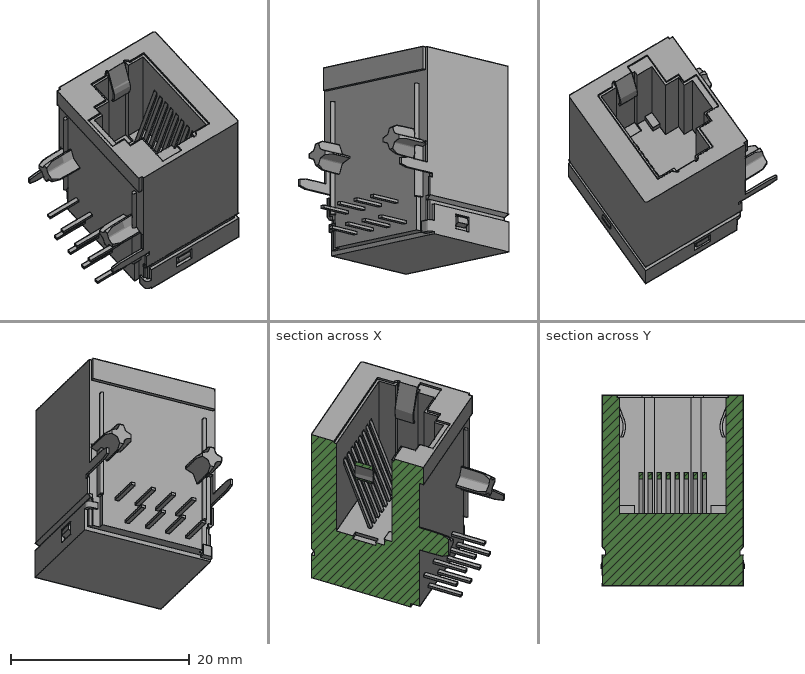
import cadquery as cq


height = 21.35
half_width = 7.92
back_y = 13.76
sheet = 0.25
standoff = 0.45
inner_half_width = half_width - sheet
bend_radius = 0.28
flap_height = 2.6

recess_top = 10.55
recess_y = 1.07
recess_half_width = 6.64
lower_edge_y = 0.87
jog_top = 4.37
jog_bottom = 3.95
waist_inset = 0.36
waist_half_width = half_width - waist_inset
waist_y = 1.28
housing_bottom = 0.51
lower_half_width = 7.15
centre_half_width = 6.27

cover_top = 3.45
cover_y = 1.58
tab_bend_radius = 0.51
left_tab_z = (2.67, cover_top)
right_tab_z = (0.23, 1.55)

window_y = (5.1, 7.21)
window_z = (1.2, 2.85)
bump_width = 1.62
bump_rise = 0.1
back_bump_rise = 0.17
bump_z = (1.62, 1.96, 2.33, 2.69)
latch_y = sum(window_y) / 2

cavity_floor = 8.1
opening_half_widths = (2.3, 3.41, 6.19)
opening_y = (0.35, 1.98, 3.63, 10.97)
cavity_half_widths = (2.03, 3.15, 5.93)
cavity_y = (1.02, 2.13, 3.9, 10.67)
ledge_width = 1.66
ledge_y = 4.85
ledge_height = 0.85
extension_x = 7.32
spring_y = (6.23, 8.45)
spring_slot_y = (5.87, 8.65)
spring_slot_x = (5.04, 6.47)
slot_depth_below_floor = 0.43
spring_bend_x = 5.57
spring_crest_x = 5.3
spring_bow_z = (18.95, 17.8, 16.65)
relief_x = 6.64
relief_reach = 0.53
relief_chamfer = 0.28

contact_count = 8
contact_row = 7.1
contact_pitch = contact_row / (contact_count - 1)
contact_width = 0.5
contact_thickness = 0.32
contact_root_depth = 0.65
contact_back_y = cavity_y[-1]
contact_front_y = 7.3
contact_top = 17.2

rib_width = recess_half_width - centre_half_width
rib_top = 17.29
rib_bottom = 4.33
peg_x = 5.7
peg_radius = 1.69
right_peg_half_width = 1.52
peg_tip_half_width = 0.09
peg_valley = (0.47, 0.73)
valley_rounding = 0.95
peg_draft_y = -0.85
peg_nose_y = -2.18
peg_end_y = -3.12
peg_end_half_width = 1.22
peg_stations = [(recess_y, 1.0), (peg_draft_y, 1.0), (peg_nose_y, 0.97), (peg_end_y, 0.95)]
tail_z = (6.94, 8.09)
tail_tip_z = (7.15, 7.87)
tail_taper_y = -2.77
tail_end_y = -3.8
notch_y = 1.32
notch_bottom = 6.5
pin_count = 8
pin_row_pitch = 2.55
pin_pitch = pin_row_pitch / 2
pin_width = 0.5
pin_thickness = 0.32
pin_end_y = -3.55
pin_row_z = (4.25, 1.66)


def block(x_range, y_range, z_range):
    """Axis-aligned box spanning three (low, high) ranges."""
    (x0, x1), (y0, y1), (z0, z1) = sorted(x_range), sorted(y_range), sorted(z_range)
    return cq.Workplane("XY").box(x1 - x0, y1 - y0, z1 - z0, centered=False).translate((x0, y0, z0))


def mirrored_outline(half):
    """Close a +X half outline with its mirror image across X = 0."""
    return half + [(-x, y) for x, y in reversed(half)]


def prism(outline, z_range):
    """Extrude an XY outline between two heights."""
    z0, z1 = z_range
    return cq.Workplane("XY").workplane(offset=z0).polyline(outline).close().extrude(z1 - z0)


def body():
    upper = block((-half_width, half_width), (standoff, back_y), (jog_top, height))
    upper = upper.edges("|Z and >Y").fillet(bend_radius)

    waist_edge = [(waist_half_width, lower_edge_y), (waist_half_width, back_y - waist_inset)]
    full_edge = [(half_width, lower_edge_y), (half_width, back_y)]
    jog = (
        cq.Workplane("XY")
        .workplane(offset=jog_bottom)
        .polyline(mirrored_outline(waist_edge))
        .close()
        .workplane(offset=jog_top - jog_bottom)
        .polyline(mirrored_outline(full_edge))
        .close()
        .loft(ruled=True)
    )

    outline = mirrored_outline([
        (centre_half_width, standoff),
        (centre_half_width, recess_y),
        (lower_half_width, recess_y),
        (lower_half_width, waist_y),
        (waist_half_width, waist_y),
        (waist_half_width, back_y - waist_inset),
    ])
    lower = prism(outline, (housing_bottom, jog_top))

    flap = block((-inner_half_width, inner_half_width), (0, standoff), (height - flap_height, height))
    return upper.union(jog).union(lower).union(flap)


def side_recess(side):
    """Open housing corner behind the shield, plus the shield's trimmed front edge."""
    corner = block(
        (side * recess_half_width, side * inner_half_width), (standoff, recess_y), (jog_top, recess_top)
    )
    jog_corner = block(
        (side * centre_half_width, side * (waist_half_width - sheet)),
        (standoff, recess_y),
        (jog_bottom, jog_top),
    )
    trim = block(
        (side * inner_half_width, side * half_width), (standoff, lower_edge_y), (jog_bottom, tail_z[0])
    )
    notch = block(
        (side * inner_half_width, side * half_width), (standoff, notch_y), (notch_bottom, tail_z[0])
    )
    return corner.union(jog_corner).union(trim).union(notch)


def cover():
    pan = block((-half_width, half_width), (cover_y, back_y), (0, cover_top))
    for side, z_range in ((-1, left_tab_z), (1, right_tab_z)):
        tab = block((side * recess_half_width, side * half_width), (lower_edge_y, cover_y), z_range)
        outer_edge = "<X" if side < 0 else ">X"
        pan = pan.union(tab.edges("|Z and <Y").edges(outer_edge).fillet(tab_bend_radius))
    return pan


def latch_window():
    """Window on the +X face: cut down to the inner sheet."""
    return block((waist_half_width, half_width), window_y, window_z)


def latch_bump(rise):
    """Wedge-shaped bump on a +X face at X = half_width, centred on Y = 0."""
    z0, z1, z2, z3 = bump_z
    crest = half_width + rise
    outline = [
        (waist_half_width, z0), (crest, z1), (crest, z2), (half_width, z3), (waist_half_width, z3),
    ]
    return cq.Workplane("XZ").polyline(outline).close().extrude(bump_width / 2, both=True)


def stepped_half_outline(half_widths, levels):
    """Right half of a jack outline that widens in steps from the lowest Y level to the highest."""
    points = []
    for half, low, high in zip(half_widths, levels, levels[1:]):
        points += [(half, low), (half, high)]
    return points


def opening():
    """Stepped opening through the shield's top sheet."""
    half = stepped_half_outline(opening_half_widths, opening_y)
    sheet_z = (height - sheet, height)
    cut = prism(mirrored_outline(half), sheet_z)
    cut = cut.union(block((0, extension_x), (opening_y[2], spring_y[0]), sheet_z))
    relief_y = (spring_y[0] - relief_reach, spring_y[1] + relief_reach)
    relief = block((-relief_x, relief_x), relief_y, sheet_z).edges("|Z").chamfer(relief_chamfer)
    return cut.union(relief)


def cavity():
    half = stepped_half_outline(cavity_half_widths, cavity_y)
    cut = prism(mirrored_outline(half), (cavity_floor, height))
    wall_x = cavity_half_widths[-1]
    for side in (-1, 1):
        ledge = block(
            (side * (wall_x - ledge_width), side * wall_x),
            (cavity_y[2], ledge_y),
            (cavity_floor, cavity_floor + ledge_height),
        )
        slot = block(
            [side * x for x in spring_slot_x], spring_slot_y, (cavity_floor - slot_depth_below_floor, height)
        )
        cut = cut.cut(ledge).union(slot)
    return cut


def spring():
    """Grounding spring on the +X side, hanging from the top sheet."""
    bow_top, bow_middle, bow_bottom = spring_bow_z
    outline = (
        cq.Workplane("XZ")
        .moveTo(spring_slot_x[1], height)
        .lineTo(spring_bend_x, bow_top)
        .threePointArc((spring_crest_x, bow_middle), (spring_bend_x, bow_bottom))
        .lineTo(spring_bend_x + sheet, bow_bottom)
        .threePointArc((spring_crest_x + sheet, bow_middle), (spring_bend_x + sheet, bow_top))
        .lineTo(relief_x, height - sheet)
        .lineTo(relief_x, height)
        .close()
    )
    return outline.extrude(spring_y[0] - spring_y[1]).translate((0, spring_y[0], 0))


def contact(x):
    """Sloping contact blade running from the back wall to the cavity floor."""
    outline = [
        (contact_back_y, contact_top),
        (contact_front_y, cavity_floor),
        (contact_front_y + contact_thickness, cavity_floor),
        (contact_back_y, contact_top - contact_root_depth),
    ]
    blade = cq.Workplane("YZ").polyline(outline).close().extrude(contact_width / 2, both=True)
    return blade.translate((x, 0, 0))


def rib(side):
    """Half-round seating rib."""
    radius = rib_width / 2
    centre_x = side * (centre_half_width + radius)
    return (
        cq.Workplane("XY")
        .workplane(offset=rib_bottom)
        .moveTo(centre_x - radius, standoff)
        .lineTo(centre_x - radius, radius)
        .threePointArc((centre_x, 0), (centre_x + radius, radius))
        .lineTo(centre_x + radius, standoff)
        .close()
        .extrude(rib_top - rib_bottom)
    )


def star_section(y, scale):
    """Closed four-pointed star wire in the plane at the given Y, with rounded valleys."""
    valley_near, valley_far = peg_valley
    valley_middle = (valley_near + valley_far) * valley_rounding / 2
    star = cq.Workplane("XZ", origin=(0, y, 0)).moveTo(scale * peg_tip_half_width, scale * peg_radius)
    quarter = [
        (valley_near, valley_far),
        (valley_middle, valley_middle),
        (valley_far, valley_near),
        (peg_radius, peg_tip_half_width),
        (peg_radius, -peg_tip_half_width),
    ]
    for cos, sin in ((1, 0), (0, -1), (-1, 0), (0, 1)):
        turned = [(scale * (u * cos - v * sin), scale * (u * sin + v * cos)) for u, v in quarter]
        star = star.lineTo(*turned[0]).threePointArc(turned[1], turned[2]).lineTo(*turned[3])
        if (cos, sin) != (0, 1):
            star = star.lineTo(*turned[4])
    return star.close().val()


def peg_taper(plane, half):
    """Prism whose outline narrows toward the peg end."""
    edge = [(half, recess_y), (half, peg_nose_y), (peg_end_half_width, peg_end_y)]
    outline = mirrored_outline(edge)
    if plane == "YZ":
        outline = [(y, z) for z, y in outline]
    return cq.Workplane(plane).polyline(outline).close().extrude(2 * peg_radius, both=True)


def peg(x, half_width_x):
    """Four-pointed star peg, drafted in steps, with tapered tips."""
    sections = [star_section(y, scale) for y, scale in peg_stations]
    star = cq.Workplane(obj=cq.Solid.makeLoft(sections, True))
    star = star.intersect(peg_taper("XY", half_width_x)).intersect(peg_taper("YZ", peg_radius))
    return star.translate((x, 0, recess_top))


def tail(side):
    """Tapered solder tail continuing the shield's side sheet."""
    outline = [
        (notch_y, tail_z[0]), (tail_taper_y, tail_z[0]), (tail_end_y, tail_tip_z[0]),
        (tail_end_y, tail_tip_z[1]), (tail_taper_y, tail_z[1]), (notch_y, tail_z[1]),
    ]
    inner_x = inner_half_width if side > 0 else -half_width
    return cq.Workplane("YZ").workplane(offset=inner_x).polyline(outline).close().extrude(sheet)


def pin(index):
    """Solder pin; neighbours alternate between the two rows."""
    x = (index - (pin_count - 1) / 2) * pin_pitch
    z = pin_row_z[index % 2]
    return block(
        (x - pin_width / 2, x + pin_width / 2),
        (pin_end_y, recess_y),
        (z - pin_thickness / 2, z + pin_thickness / 2),
    )


part = body()
for side in (-1, 1):
    part = part.cut(side_recess(side))
part = part.union(cover()).cut(cavity()).cut(opening())

window = latch_window()
part = part.cut(window).cut(window.mirror("YZ"))
side_bump = latch_bump(bump_rise).translate((0, latch_y, 0))
for feature in (side_bump, spring()):
    part = part.union(feature).union(feature.mirror("YZ"))
back_bump = latch_bump(back_bump_rise).rotate((0, 0, 0), (0, 0, 1), 90)
part = part.union(back_bump.translate((0, back_y - half_width, 0)))

for index in range(contact_count):
    part = part.union(contact((index - (contact_count - 1) / 2) * contact_pitch))
for side, peg_half_width in ((-1, peg_radius), (1, right_peg_half_width)):
    part = part.union(rib(side)).union(peg(side * peg_x, peg_half_width)).union(tail(side))
for index in range(pin_count):
    part = part.union(pin(index))

result = part